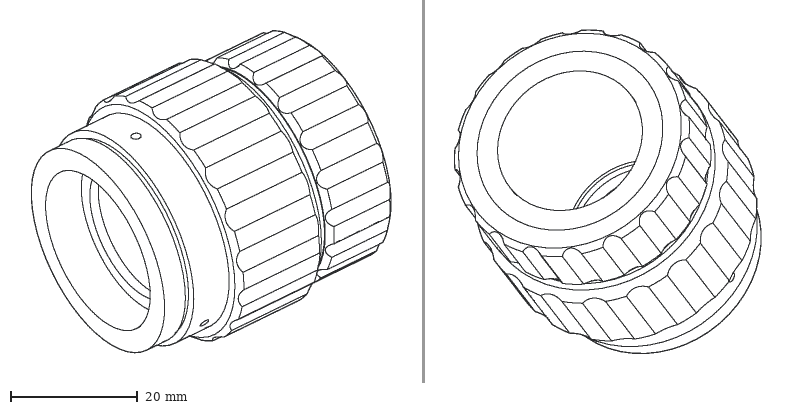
import cadquery as cq
import math

LENGTH = 44.0
FRONT = -LENGTH / 2
REAR = LENGTH / 2

END_BAND_LENGTH = 4.1
GROOVE_LENGTH = 0.92
COLLAR_LENGTH = 7.0
GRIP_LENGTH = 17.5
NECK_LENGTH = 1.45

GROOVE_START = FRONT + END_BAND_LENGTH
COLLAR_START = GROOVE_START + GROOVE_LENGTH
GRIP_START = COLLAR_START + COLLAR_LENGTH
GRIP_END = GRIP_START + GRIP_LENGTH
KNOB_START = GRIP_END + NECK_LENGTH

BARREL_RADIUS = 15.4
BARREL_START = FRONT + 7.05
BARREL_BORE_RADIUS = 12.0
LIP_RADIUS = 11.5
LIP_LENGTH = 1.65

COLLAR_RADIUS = 18.5
END_BAND_RADIUS = 17.5
GROOVE_RADIUS = 17.1
COLLAR_BORE_RADIUS = 13.75

SCREW_HOLE_RADIUS = 0.8
COLLAR_HOLE_STATION = COLLAR_START + COLLAR_LENGTH / 2
COLLAR_HOLE_COUNT = 3
COLLAR_HOLE_PHASE = 94.1
BARREL_HOLE_RADIUS = 0.55
BARREL_HOLE_STATION = BARREL_START + LIP_LENGTH + BARREL_HOLE_RADIUS
BARREL_HOLE_ANGLE = 3.0
NECK_HOLE_STATION = GRIP_END - 0.55
NECK_HOLE_ANGLE = 90.0

NECK_RADIUS = 18.3
NECK_SINK = 1.6

GRIP_RADIUS = 21.0
GRIP_FRONT_CHAMFER = 1.0
GRIP_REAR_CHAMFER = 1.6
GRIP_FLUTE_RADIUS = 4.0
GRIP_FLUTE_DEPTH = 0.55
GRIP_FLUTE_PHASE = 13.3

KNOB_RADIUS = 19.5
KNOB_CHAMFER = 1.0
KNOB_FLUTE_RADIUS = 2.0
KNOB_FLUTE_DEPTH = 0.9
KNOB_FLUTE_PHASE = 10.0

FLUTE_COUNT = 18


def disc(radius, start, end):
    """A solid cylinder along Y between two stations."""
    return cq.Workplane("XZ", origin=(0, start, 0)).circle(radius).extrude(start - end)


def flutes(body_radius, flute_radius, depth, phase, start, end):
    """Round-bottomed cutters along Y, evenly spaced around a body."""
    centre_radius = body_radius - depth + flute_radius
    cutters = (
        cq.Workplane("XZ", origin=(0, start, 0))
        .polarArray(centre_radius, phase, 360, FLUTE_COUNT)
        .circle(flute_radius)
    )
    return cutters.extrude(start - end)


def radial_drill(radius, station, angle):
    """A round cutter that runs from the axis outwards past every body."""
    direction = cq.Vector(math.cos(math.radians(angle)), 0, math.sin(math.radians(angle)))
    axis_point = cq.Vector(0, station, 0)
    return cq.Workplane(cq.Solid.makeCylinder(radius, LENGTH, axis_point, direction))


def make_collar():
    collar = disc(END_BAND_RADIUS, FRONT, GROOVE_START)
    collar = collar.union(disc(GROOVE_RADIUS, GROOVE_START, COLLAR_START))
    collar = collar.union(disc(COLLAR_RADIUS, COLLAR_START, GRIP_START))
    collar = collar.cut(disc(COLLAR_BORE_RADIUS, FRONT, BARREL_START))
    collar = collar.cut(disc(BARREL_RADIUS, BARREL_START, GRIP_START))
    for index in range(COLLAR_HOLE_COUNT):
        angle = COLLAR_HOLE_PHASE + index * 360 / COLLAR_HOLE_COUNT
        collar = collar.cut(radial_drill(SCREW_HOLE_RADIUS, COLLAR_HOLE_STATION, angle))
    return collar


def make_barrel():
    barrel = disc(BARREL_RADIUS, BARREL_START, REAR)
    barrel = barrel.cut(disc(LIP_RADIUS, BARREL_START, REAR))
    barrel = barrel.cut(disc(BARREL_BORE_RADIUS, BARREL_START + LIP_LENGTH, REAR))
    return barrel.cut(radial_drill(BARREL_HOLE_RADIUS, BARREL_HOLE_STATION, BARREL_HOLE_ANGLE))


def make_grip():
    grip = disc(GRIP_RADIUS, GRIP_START, GRIP_END)
    grip = grip.faces("<Y").chamfer(GRIP_FRONT_CHAMFER)
    grip = grip.faces(">Y").chamfer(GRIP_REAR_CHAMFER)
    grip = grip.cut(
        flutes(GRIP_RADIUS, GRIP_FLUTE_RADIUS, GRIP_FLUTE_DEPTH, GRIP_FLUTE_PHASE, GRIP_START, GRIP_END)
    )
    grip = grip.cut(disc(BARREL_RADIUS, GRIP_START, GRIP_END))
    return grip.cut(disc(NECK_RADIUS, GRIP_END - NECK_SINK, GRIP_END))


def make_neck():
    neck = disc(NECK_RADIUS, GRIP_END - NECK_SINK, KNOB_START)
    neck = neck.cut(disc(BARREL_RADIUS, GRIP_END - NECK_SINK, KNOB_START))
    return neck.cut(radial_drill(SCREW_HOLE_RADIUS, NECK_HOLE_STATION, NECK_HOLE_ANGLE))


def make_knob():
    knob = disc(KNOB_RADIUS, KNOB_START, REAR)
    knob = knob.faces("<Y or >Y").chamfer(KNOB_CHAMFER)
    knob = knob.cut(
        flutes(KNOB_RADIUS, KNOB_FLUTE_RADIUS, KNOB_FLUTE_DEPTH, KNOB_FLUTE_PHASE, KNOB_START, REAR)
    )
    return knob.cut(disc(BARREL_RADIUS, KNOB_START, REAR))


collar = make_collar()
barrel = make_barrel()
grip = make_grip()
neck = make_neck()
knob = make_knob()

result = cq.Compound.makeCompound([collar.val(), barrel.val(), grip.val(), neck.val(), knob.val()])